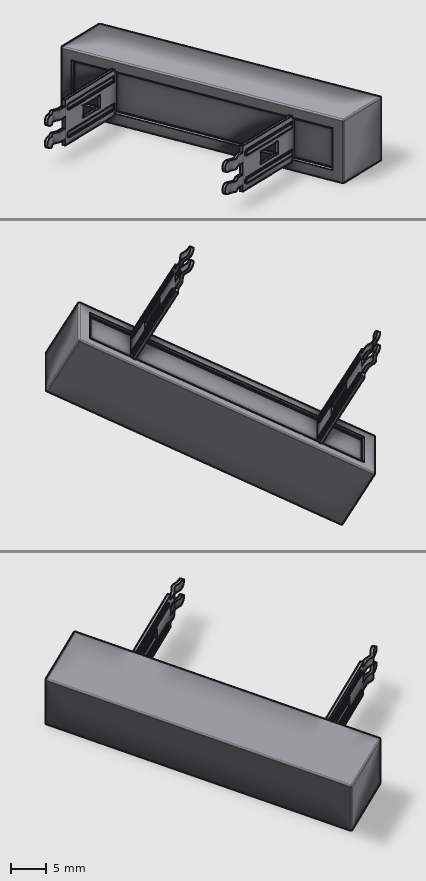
import cadquery as cq
import math

CASE_LENGTH = 48.0
CASE_DEPTH = 10.05
CASE_HEIGHT = 10.0
CASE_EDGE_RADIUS = 0.25

END_RIM = 1.8
SIDE_RIM = 1.75
RECESS_DEPTH = 0.55
MOUTH_CHAMFER = 0.25

SHEET = 0.5
TERMINAL_INNER_X = 14.85
PLATE_REACH = 12.85
PLATE_HEIGHT = 7.1

WINDOW_START = 3.7
WINDOW_LENGTH = 4.5
WINDOW_HEIGHT = 1.9

RIB_OFFSET_Z = 2.15
RIB_END = 12.35
RIB_WIDTH = 1.0
RIB_HEIGHT = 0.15
RIB_SLOPE_RUN = 0.2

PIN_REACH = 17.45
PIN_WIDTH = 1.65
PIN_OFFSET_Z = 1.75
KINK_START = 13.9
KINK_PEAK = 15.25
KINK_END = 16.55
KINK_DEPTH = 0.45

TERMINAL_OUTER_X = TERMINAL_INNER_X + SHEET


def box(x_range, y_range, z_range):
    """Axis-aligned box between the given limits."""
    (x0, x1), (y0, y1), (z0, z1) = x_range, y_range, z_range
    return cq.Workplane("XY").box(x1 - x0, y1 - y0, z1 - z0, centered=False).translate((x0, y0, z0))


def make_case():
    half_length = CASE_LENGTH / 2
    half_height = CASE_HEIGHT / 2
    case = box((-half_length, half_length), (0, CASE_DEPTH), (-half_height, half_height))
    case = case.edges().fillet(CASE_EDGE_RADIUS)

    mouth_x = half_length - END_RIM
    mouth_z = half_height - SIDE_RIM
    floor_x = mouth_x - MOUTH_CHAMFER
    floor_z = mouth_z - MOUTH_CHAMFER
    recess = box((-floor_x, floor_x), (0, RECESS_DEPTH), (-floor_z, floor_z))
    mouth = (
        cq.Workplane("XZ")
        .rect(2 * mouth_x, 2 * mouth_z)
        .workplane(offset=-MOUTH_CHAMFER)
        .rect(2 * floor_x, 2 * floor_z)
        .loft(ruled=True)
    )
    return case.cut(recess).cut(mouth)


def make_plate():
    plate_half = PLATE_HEIGHT / 2
    window_half = WINDOW_HEIGHT / 2
    sheet_range = (TERMINAL_INNER_X, TERMINAL_OUTER_X)
    plate = box(sheet_range, (-PLATE_REACH, RECESS_DEPTH), (-plate_half, plate_half))
    window = box(sheet_range, (-WINDOW_START - WINDOW_LENGTH, -WINDOW_START), (-window_half, window_half))
    return plate.cut(window)


def rib_form(base_x, z):
    """Low ridge rising outward from base_x, with sloping sides and a rounded far end."""
    half_width = RIB_WIDTH / 2
    side_taper = math.degrees(math.atan2(RIB_SLOPE_RUN, RIB_HEIGHT))
    return (
        cq.Workplane("YZ", origin=(base_x, 0, z))
        .moveTo(0, -half_width)
        .lineTo(0, half_width)
        .lineTo(half_width - RIB_END, half_width)
        .threePointArc((-RIB_END, 0), (half_width - RIB_END, -half_width))
        .close()
        .extrude(RIB_HEIGHT, taper=side_taper)
    )


def kink_curve(base_x):
    """Points along one face of a pin, from the plate to the tip."""
    return [
        (base_x, -PLATE_REACH),
        (base_x, -KINK_START),
        (base_x + KINK_DEPTH, -KINK_PEAK),
        (base_x, -KINK_END),
        (base_x, -PIN_REACH),
    ]


def make_pin(z):
    inner_points = kink_curve(TERMINAL_INNER_X)
    outer_points = kink_curve(TERMINAL_OUTER_X)[::-1]
    strip = (
        cq.Workplane("XY", origin=(0, 0, -PIN_WIDTH / 2))
        .moveTo(*inner_points[0])
        .spline(inner_points, tangents=[(0, -1)] * len(inner_points))
        .lineTo(*outer_points[0])
        .spline(outer_points, tangents=[(0, 1)] * len(outer_points))
        .close()
        .extrude(PIN_WIDTH)
    )

    half_width = PIN_WIDTH / 2
    outline = (
        cq.Workplane("YZ")
        .moveTo(-PLATE_REACH, -half_width)
        .lineTo(half_width - PIN_REACH, -half_width)
        .threePointArc((-PIN_REACH, 0), (half_width - PIN_REACH, half_width))
        .lineTo(-PLATE_REACH, half_width)
        .close()
        .extrude(2 * TERMINAL_OUTER_X)
    )
    return strip.intersect(outline).translate((0, 0, z))


def make_terminal():
    terminal = make_plate()
    for side in (-1, 1):
        rib_z = side * RIB_OFFSET_Z
        terminal = terminal.cut(rib_form(TERMINAL_INNER_X, rib_z))
        terminal = terminal.union(rib_form(TERMINAL_OUTER_X, rib_z))
        terminal = terminal.union(make_pin(side * PIN_OFFSET_Z))
    return terminal


terminal = make_terminal()
result = make_case().union(terminal).union(terminal.mirror("YZ"))